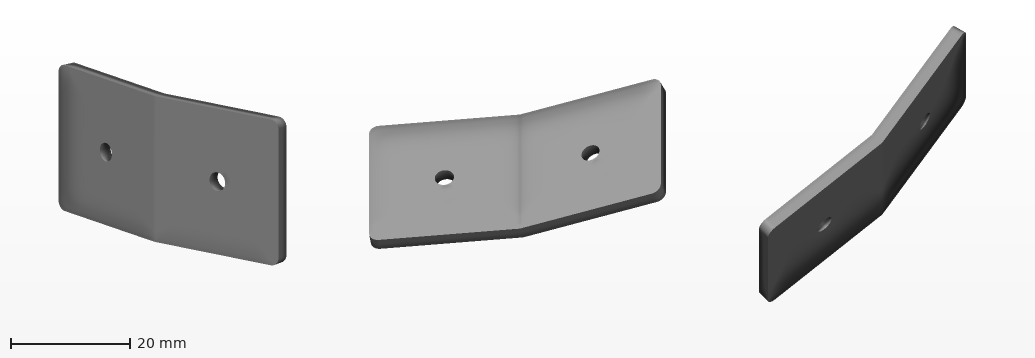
import cadquery as cq
import math

height = 25.4
flange_length = 25.4
thickness = 2.3
bend_angle = 15.0
inner_bend_radius = 0.25
corner_radius = 1.6
hole_diameter = 3.25

outer_bend_radius = inner_bend_radius + thickness


def flange():
    """Flat plate from X = 0 to flange_length, front face on Y = 0, rounded at its far end."""
    return (
        cq.Workplane("XY")
        .box(flange_length, thickness, height, centered=(False, False, True))
        .edges(">X and |Y")
        .fillet(corner_radius)
        .cut(
            cq.Workplane("XZ")
            .center(flange_length / 2, 0)
            .circle(hole_diameter / 2)
            .extrude(-thickness)
        )
    )


def bend_point(radius, angle):
    """Point on the bend, whose axis stands at X = 0 behind the plate."""
    turn = math.radians(angle)
    return (radius * math.sin(turn), outer_bend_radius - radius * math.cos(turn))


def bend():
    """Curved strip joining the two flanges."""
    return (
        cq.Workplane("XY")
        .moveTo(*bend_point(outer_bend_radius, 0))
        .threePointArc(
            bend_point(outer_bend_radius, bend_angle / 2),
            bend_point(outer_bend_radius, bend_angle),
        )
        .lineTo(*bend_point(inner_bend_radius, bend_angle))
        .threePointArc(
            bend_point(inner_bend_radius, bend_angle / 2),
            bend_point(inner_bend_radius, 0),
        )
        .close()
        .extrude(height / 2, both=True)
    )


straight_flange = flange().mirror("YZ")
tilted_flange = flange().rotate(
    (0, outer_bend_radius, 0), (0, outer_bend_radius, 1), bend_angle
)

result = straight_flange.union(bend()).union(tilted_flange)